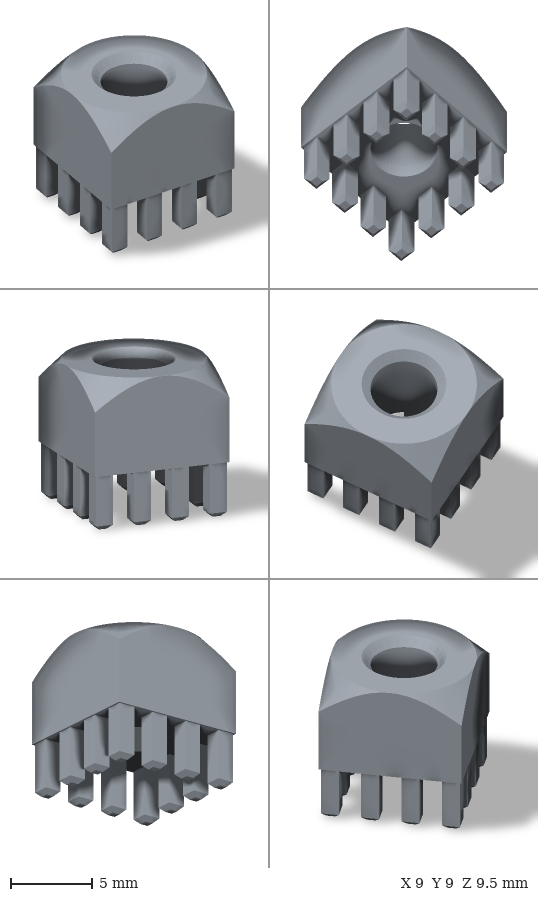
import cadquery as cq

body_width = 9.0
body_height = 6.0

crown_diameter = body_width
crown_slope = 1.0

bore_diameter = 4.13
countersink_depth = 0.55
countersink_diameter = bore_diameter + 2 * countersink_depth

pins_per_side = 4
pin_pitch = 2.54
pin_width = 1.13
pin_length = 3.5
pin_tip_bevel = 0.3


def make_body():
    """Square block trimmed by a cone that touches its top edges."""
    block = cq.Workplane("XY").box(body_width, body_width, body_height, centered=(True, True, False))
    crown_radius = crown_diameter / 2
    base_radius = crown_radius + body_height * crown_slope
    cone = cq.Workplane(cq.Solid.makeCone(base_radius, crown_radius, body_height))
    return block.intersect(cone)


def cut_bore(body):
    """Through bore with a countersink at the top."""
    bore = cq.Workplane("XY").circle(bore_diameter / 2).extrude(body_height)
    countersink = cq.Workplane(
        cq.Solid.makeCone(
            bore_diameter / 2,
            countersink_diameter / 2,
            countersink_depth,
            pnt=cq.Vector(0, 0, body_height - countersink_depth),
        )
    )
    return body.cut(bore).cut(countersink)


def make_pin(x, y):
    """Square pin hanging below the body, with a bevelled tip."""
    pin = cq.Workplane("XY").center(x, y).rect(pin_width, pin_width).extrude(-pin_length)
    return pin.faces("<Z").edges().chamfer(pin_tip_bevel)


def pin_positions():
    """Centres of the outer ring of a square grid of pins."""
    last = pins_per_side - 1
    offset = last * pin_pitch / 2
    positions = []
    for column in range(pins_per_side):
        for row in range(pins_per_side):
            if column in (0, last) or row in (0, last):
                positions.append((column * pin_pitch - offset, row * pin_pitch - offset))
    return positions


result = cut_bore(make_body())
for pin_x, pin_y in pin_positions():
    result = result.union(make_pin(pin_x, pin_y))